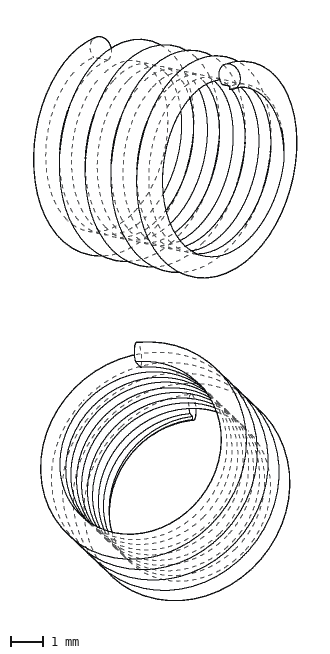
import cadquery as cq
import math

outer_diameter = 6.8
wire_diameter = 0.8
pitch = 1.0
turns = 5
bore_diameter = 5.4

wire_radius = wire_diameter / 2
coil_radius = outer_diameter / 2 - wire_radius
coil_length = pitch * turns
start_x = -coil_length / 2

start_plane = cq.Plane(origin=(start_x, 0, 0), xDir=(0, 0, 1), normal=(1, 0, 0))
helix = cq.Wire.makeHelix(pitch, coil_length, coil_radius).moved(cq.Location(start_plane))

lead_angle = math.atan2(pitch, 2 * math.pi * coil_radius)
section_plane = cq.Plane(
    origin=(start_x, 0, coil_radius),
    xDir=(0, 0, 1),
    normal=(math.sin(lead_angle), -math.cos(lead_angle), 0),
)
wire_section = cq.Workplane(section_plane).circle(wire_radius)
coil = wire_section.sweep(cq.Workplane(obj=helix), isFrenet=True)

bore_length = coil_length + wire_radius
bore = (
    cq.Workplane("YZ", origin=(start_x - wire_radius, 0, 0))
    .circle(bore_diameter / 2)
    .extrude(bore_length)
)

result = coil.cut(bore)